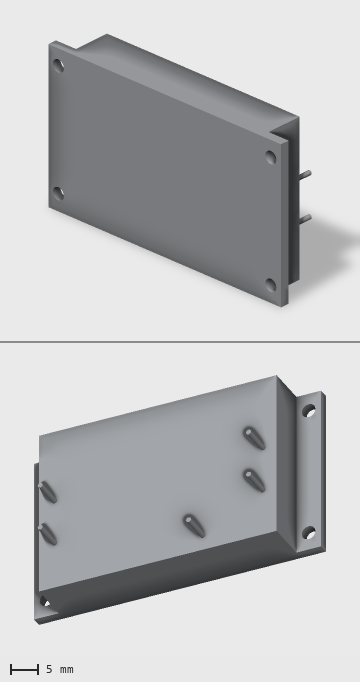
import cadquery as cq

PLATE_LENGTH = 57.5
HEIGHT = 33.2
PLATE_THICKNESS = 2.0
BLOCK_LENGTH = 47.6
HOUSING_DEPTH = 10.25

HOLE_DIAMETER = 2.7
HOLE_SPACING_X = 52.5
HOLE_SPACING_Z = 26.0

OVERALL_DEPTH = 16.2
PIN_DIAMETER = 1.0
PIN_LENGTH = OVERALL_DEPTH - HOUSING_DEPTH
LEFT_PIN_X = -21.05
MIDDLE_PIN_X = -9.0
RIGHT_PIN_X = 20.7
UPPER_PIN_Z = 1.85
LOWER_PIN_Z = -7.15
BOTTOM_PIN_Z = -13.55
PIN_POSITIONS = [
    (LEFT_PIN_X, UPPER_PIN_Z),
    (LEFT_PIN_X, LOWER_PIN_Z),
    (MIDDLE_PIN_X, BOTTOM_PIN_Z),
    (RIGHT_PIN_X, UPPER_PIN_Z),
    (RIGHT_PIN_X, LOWER_PIN_Z),
]


def make_housing():
    """Base plate and block in one solid, with a mounting hole near each plate corner."""
    centred_xz = (True, False, True)
    plate = cq.Workplane("XY").box(PLATE_LENGTH, PLATE_THICKNESS, HEIGHT, centered=centred_xz)
    block = cq.Workplane("XY").box(BLOCK_LENGTH, HOUSING_DEPTH, HEIGHT, centered=centred_xz)
    holes = (
        cq.Workplane("XZ")
        .rect(HOLE_SPACING_X, HOLE_SPACING_Z, forConstruction=True)
        .vertices()
        .circle(HOLE_DIAMETER / 2)
        .extrude(-HOUSING_DEPTH)
    )
    return plate.union(block).cut(holes)


def make_pin(x, z):
    """Round pin running toward +Y from the rear face of the block."""
    return (
        cq.Workplane("XZ", origin=(x, HOUSING_DEPTH, z))
        .circle(PIN_DIAMETER / 2)
        .extrude(-PIN_LENGTH)
    )


housing = make_housing()
pins = [make_pin(x, z) for x, z in PIN_POSITIONS]

result = cq.Compound.makeCompound([housing.val(), *[pin.val() for pin in pins]])